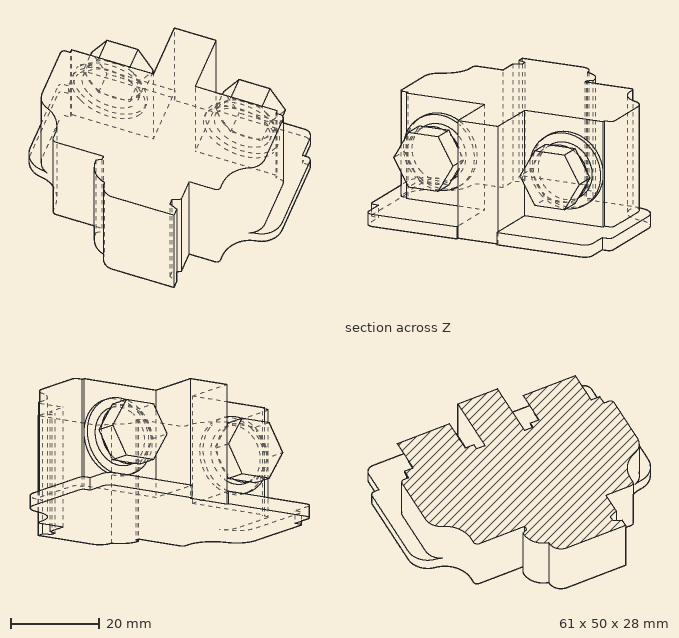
import cadquery as cq
import math

total_height = 28.0
plate_thickness = 2.9

plate_half_width = 30.5
plate_back_half_width = 28.3
body_half_width = 26.95
wall_half_width = 24.9
front_half_width = 20.25
rib_half_width = 5.05

front_y = 10.0
body_shoulder_y = 34.85
wall_y = 35.6
plate_shoulder_y = 42.95
rib_back_y = 49.4
plate_back_y = 50.0

corner_radius = 1.0
plate_back_radius = 2.0
hollow_radius = 6.65
hollow_center_y = 12.15
body_flank_radius = 3.95
plate_flank_radius = 5.0

tongue_right_x = 13.0
neck_x = -7.75
neck_y = 9.15
bulge_x = -8.95
bulge_top_y = 8.4
bulge_radius = 5.0
bulge_center_y = 8.1
lobe_x = -5.0
lobe_radius = 3.0
notch_center_y = 3.3
notch_mouth = 3.0
notch_floor = 1.3
notch_depth = 1.95

bolt_x = 16.0
bolt_z = (plate_thickness + total_height) / 2
washer_diameter = 17.95
washer_thickness = 1.35
collar_diameter = 13.65
collar_length = 2.5
hex_across_flats = 13.0
hex_length = 5.55
hex_across_corners = hex_across_flats / math.cos(math.pi / 6)


def half_flank(half_width, flank_radius, shoulder_y):
    """Start the right half outline: front edge, hollow, tangent flank, shoulder corner."""
    hollow_center_x = front_half_width + hollow_radius
    flank_center_x = half_width - flank_radius
    center_dx = flank_center_x - hollow_center_x
    center_distance = hollow_radius + flank_radius
    center_dy = math.sqrt(center_distance**2 - center_dx**2)
    share = hollow_radius / center_distance
    touch_point = (hollow_center_x + share * center_dx, hollow_center_y + share * center_dy)
    return (
        cq.Workplane("XY")
        .moveTo(0, front_y)
        .lineTo(front_half_width - corner_radius, front_y)
        .tangentArcPoint((front_half_width, front_y + corner_radius), relative=False)
        .lineTo(front_half_width, hollow_center_y)
        .tangentArcPoint(touch_point, relative=False)
        .tangentArcPoint((half_width, hollow_center_y + center_dy), relative=False)
        .lineTo(half_width, shoulder_y - corner_radius)
        .tangentArcPoint((half_width - corner_radius, shoulder_y), relative=False)
    )


def extrude_symmetric(half_outline, back_y, height):
    """Finish a half outline along the rib, extrude it and add its mirror image."""
    half = (
        half_outline
        .lineTo(rib_half_width, back_y)
        .lineTo(rib_half_width, rib_back_y)
        .lineTo(0, rib_back_y)
        .close()
        .extrude(height)
    )
    return half.union(half.mirror("YZ"))


def make_body():
    outline = (
        half_flank(body_half_width, body_flank_radius, body_shoulder_y)
        .lineTo(wall_half_width, body_shoulder_y)
        .lineTo(wall_half_width, wall_y)
    )
    return extrude_symmetric(outline, wall_y, total_height)


def make_plate():
    outline = (
        half_flank(plate_half_width, plate_flank_radius, plate_shoulder_y)
        .lineTo(plate_back_half_width, plate_shoulder_y)
        .lineTo(plate_back_half_width, plate_back_y - plate_back_radius)
        .tangentArcPoint((plate_back_half_width - plate_back_radius, plate_back_y), relative=False)
    )
    return extrude_symmetric(outline, plate_back_y, plate_thickness)


def make_tongue():
    """Full-height tongue with a rounded bulge and lobe on the left and a notch on the right."""
    bulge_center_x = bulge_x + bulge_radius
    bulge_end_y = bulge_center_y - math.sqrt(bulge_radius**2 - (lobe_x - bulge_center_x) ** 2)
    notch_x = tongue_right_x - notch_depth
    root_y = hollow_center_y
    return (
        cq.Workplane("XY")
        .moveTo(neck_x, root_y)
        .lineTo(neck_x, neck_y)
        .lineTo(bulge_x, bulge_top_y)
        .lineTo(bulge_x, bulge_center_y)
        .tangentArcPoint((lobe_x, bulge_end_y), relative=False)
        .lineTo(lobe_x, lobe_radius)
        .tangentArcPoint((lobe_x + lobe_radius, 0), relative=False)
        .lineTo(tongue_right_x, 0)
        .lineTo(tongue_right_x, notch_center_y - notch_mouth / 2)
        .lineTo(notch_x, notch_center_y - notch_floor / 2)
        .lineTo(notch_x, notch_center_y + notch_floor / 2)
        .lineTo(tongue_right_x, notch_center_y + notch_mouth / 2)
        .lineTo(tongue_right_x, root_y)
        .close()
        .extrude(total_height)
    )


def make_bolt(x):
    """Washer, collar and hexagon head standing on the back wall, along +Y."""
    wall_plane = cq.Plane(origin=(x, wall_y, bolt_z), xDir=(1, 0, 0), normal=(0, 1, 0))
    return (
        cq.Workplane(wall_plane)
        .circle(washer_diameter / 2)
        .extrude(washer_thickness)
        .faces(">Y").workplane()
        .circle(collar_diameter / 2)
        .extrude(collar_length)
        .faces(">Y").workplane()
        .polygon(6, hex_across_corners)
        .extrude(hex_length)
    )


result = make_body().union(make_plate()).union(make_tongue())
for side in (-1, 1):
    result = result.union(make_bolt(side * bolt_x))